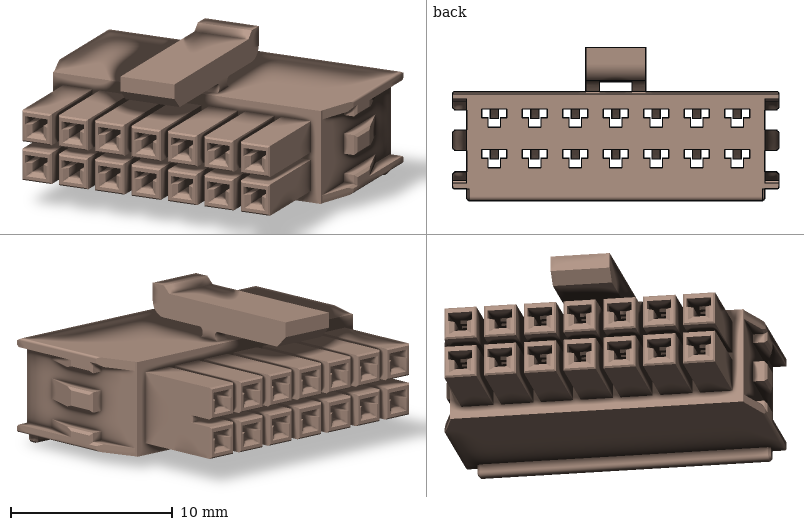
import cadquery as cq

overall_width = 20.2
core_width = 18.46
body_length = 9.85
body_height = 6.02

top_flange_thickness = 0.59
bottom_flange_thickness = 0.5
taper_length = 2.77
taper_front_width = 18.35
edge_bevel = 0.15
flange_round = 0.15
back_bevel_height = 0.16
back_bevel_length = 0.35

wedge_back_y = 7.68
wedge_crest_y = 5.03
wedge_front_y = 3.21
wedge_bevel = 0.16
middle_wedge_height = 1.3
outer_wedge_drop = 0.57
wedge_embed = 0.02
pick = 0.02

columns = 7
rows = 2
pitch = 2.5
tower_size = 2.02
tower_length = 5.84
tower_bevel = 0.1
web_width = 0.53
web_setback = 1.72

cavity_top = 0.67
shoulder_height = 0.15
upper_half_width = 0.77
mouth_half_width = 0.69
mouth_floor = -0.7
throat_half_width = 0.38
throat_floor = -0.45
funnel_depth = 0.25
tongue_width = 0.53
tongue_steps = [(1.62, 0.45), (2.02, 0.3), (2.42, 0.08)]

latch_width = 3.72
latch_leg_width = 0.87
latch_top = 8.75
lever_top = 8.3
lever_heel_bottom = 6.7
lever_tip_bottom = 6.63
lever_back_y = 6.35
lever_front_y = -5.58
grip_length = 1.0
grip_slope = 0.46
heel_radius = 0.97
tip_bevel_length = 0.75
tip_bevel_height = 0.73
neck_back_y = 2.08
neck_front_y = 0.55
neck_waist = 0.22

rib_depth = 0.75
rib_length = 0.83
rib_round = 0.26
rib_bevel = 0.15
rib_root = 0.2


def box(x0, x1, y0, y1, z0, z1):
    """Axis-aligned block between two corners."""
    return cq.Workplane("XY").box(x1 - x0, y1 - y0, z1 - z0, centered=False).translate((x0, y0, z0))


def mirrored(shape):
    """The shape together with its mirror image on the other side."""
    return shape.union(shape.mirror("YZ"))


half_width = overall_width / 2
core_half = core_width / 2
taper_half = taper_front_width / 2
middle_z = body_height / 2


def flange(bottom, thickness):
    outline = [
        (-taper_half, 0),
        (taper_half, 0),
        (half_width, taper_length),
        (half_width, body_length),
        (-half_width, body_length),
        (-half_width, taper_length),
    ]
    return cq.Workplane("XY").workplane(offset=bottom).polyline(outline).close().extrude(thickness)


def wedge(bottom, top):
    """Locking wedge on the +X side, rising toward the front."""
    outline = [
        (core_half - wedge_embed, wedge_back_y),
        (core_half, wedge_back_y),
        (half_width, wedge_crest_y),
        (half_width, wedge_front_y),
        (core_half - wedge_embed, wedge_front_y),
    ]
    return cq.Workplane("XY").workplane(offset=bottom).polyline(outline).close().extrude(top - bottom)


def body():
    core = box(-core_half, core_half, 0, body_length, 0, body_height)
    flange_under = body_height - top_flange_thickness

    top = flange(flange_under, top_flange_thickness)
    top = top.faces(">Z").edges("|Y").fillet(flange_round)
    top = top.faces(">Y").edges("<Z").chamfer(edge_bevel)

    bottom = flange(0, bottom_flange_thickness)
    bottom = bottom.faces("<Z").edges("|Y").fillet(flange_round)
    bottom = bottom.faces(">Y").edges(">Z").chamfer(edge_bevel)

    housing = core.union(top).union(bottom)

    wedge_under = flange_under - outer_wedge_drop
    wedge_over = bottom_flange_thickness + outer_wedge_drop
    housing = housing.union(mirrored(wedge(wedge_under, flange_under)))
    housing = housing.union(mirrored(wedge(bottom_flange_thickness, wedge_over)))
    for side in (1, -1):
        for low, high in ((wedge_under, flange_under), (bottom_flange_thickness, wedge_over)):
            edges = cq.selectors.BoxSelector(
                (side * half_width - pick, taper_length - pick, low - pick),
                (side * half_width + pick, wedge_crest_y - pick, high + pick),
            )
            housing = housing.edges(edges).chamfer(wedge_bevel)

    middle = wedge(middle_z - middle_wedge_height / 2, middle_z + middle_wedge_height / 2)
    middle = middle.faces(">X").edges("|Y or <Y").chamfer(wedge_bevel)
    housing = housing.union(mirrored(middle))

    back_bevel = (
        cq.Workplane("YZ")
        .polyline([
            (body_length, body_height),
            (body_length - back_bevel_length, body_height),
            (body_length, body_height - back_bevel_height),
        ])
        .close()
        .extrude(half_width, both=True)
    )
    return housing.cut(back_bevel)


def rib():
    block = box(-core_half, core_half, body_length - rib_length, body_length, -rib_depth, rib_root)
    block = block.faces("<Z").edges("|X").fillet(rib_round)
    block = block.faces("<X or >X").chamfer(rib_bevel)
    return block.intersect(box(-half_width, half_width, 0, body_length, -rib_depth, 0))


def tower():
    block = box(-tower_size / 2, tower_size / 2, -tower_length, 0, -tower_size / 2, tower_size / 2)
    return block.faces("<Y").chamfer(tower_bevel)


def cavity():
    """Contact passage running from the tower tip to the back of the body."""
    tip = -tower_length
    mouth_height = shoulder_height - mouth_floor
    mouth_level = shoulder_height - mouth_height / 2
    throat_height = shoulder_height - throat_floor
    throat_level = shoulder_height - throat_height / 2

    upper = box(-upper_half_width, upper_half_width, tip, body_length, shoulder_height, cavity_top)
    throat = box(-throat_half_width, throat_half_width, tip, body_length, throat_floor, shoulder_height)
    funnel = (
        cq.Workplane("XZ", origin=(0, tip, mouth_level))
        .rect(2 * mouth_half_width, mouth_height)
        .workplane(offset=-funnel_depth)
        .center(0, throat_level - mouth_level)
        .rect(2 * throat_half_width, throat_height)
        .loft()
    )
    passage = upper.union(throat).union(funnel)
    for depth, lower_edge in tongue_steps:
        passage = passage.cut(
            box(-tongue_width / 2, tongue_width / 2, tip + depth, 0, lower_edge, cavity_top)
        )
    return passage


def web():
    """Bridge between the two rows at the outer side of the first column, beveled at its corner."""
    outer_x = -(columns - 1) / 2 * pitch - tower_size / 2
    half_gap = (pitch - tower_size) / 2
    bridge = box(
        outer_x, outer_x + web_width, web_setback - tower_length, 0, middle_z - half_gap, middle_z + half_gap
    )
    return bridge.edges("|Z and <X and <Y").chamfer(edge_bevel)


def latch():
    neck_mid_z = (body_height + lever_heel_bottom) / 2
    front_mid_z = (body_height + lever_tip_bottom) / 2
    lever = (
        cq.Workplane("YZ")
        .moveTo(neck_front_y, body_height)
        .threePointArc((neck_front_y + neck_waist, front_mid_z), (neck_front_y, lever_tip_bottom))
        .lineTo(lever_front_y + tip_bevel_length, lever_tip_bottom)
        .lineTo(lever_front_y, lever_tip_bottom + tip_bevel_height)
        .lineTo(lever_front_y, lever_top)
        .lineTo(lever_back_y - grip_length - grip_slope, lever_top)
        .lineTo(lever_back_y - grip_length, latch_top)
        .lineTo(lever_back_y, latch_top)
        .lineTo(lever_back_y, lever_heel_bottom + heel_radius)
        .radiusArc((lever_back_y - heel_radius, lever_heel_bottom), heel_radius)
        .lineTo(neck_back_y, lever_heel_bottom)
        .threePointArc((neck_back_y - neck_waist, neck_mid_z), (neck_back_y, body_height))
        .close()
        .extrude(latch_width / 2, both=True)
    )
    half_window = latch_width / 2 - latch_leg_width
    window = box(-half_window, half_window, neck_front_y, neck_back_y, body_height, lever_tip_bottom)
    return lever.cut(window)


result = body().union(rib()).union(latch()).union(web())
positions = [
    ((column - (columns - 1) / 2) * pitch, 0, middle_z + (row - (rows - 1) / 2) * pitch)
    for row in range(rows)
    for column in range(columns)
]
for position in positions:
    result = result.union(tower().translate(position))
contact_cavity = cavity()
for position in positions:
    result = result.cut(contact_cavity.translate(position))